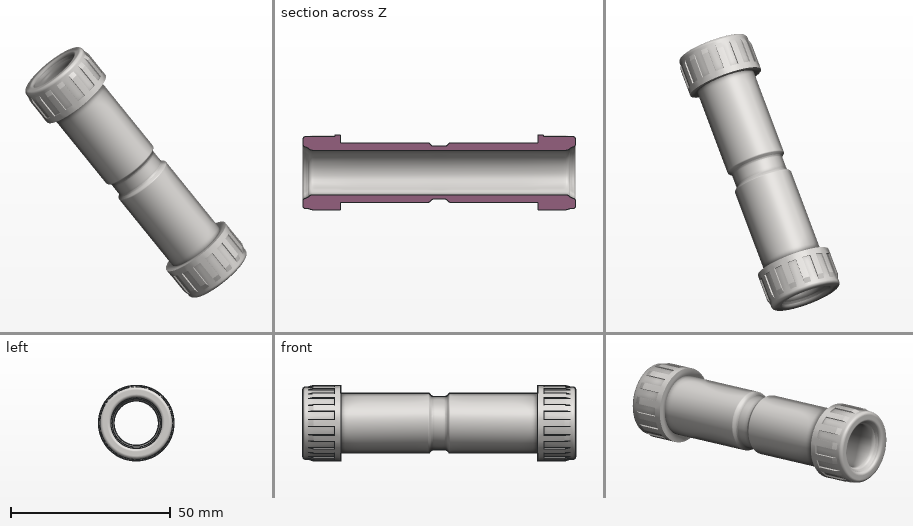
import cadquery as cq

length = 85.5
half_length = length / 2
bore_radius = 6.9
tube_radius = 9.4

waist_radius = 8.4
waist_half_width = 2.2
waist_root_fillet = 0.8
waist_rim_fillet = 0.4

cap_diameter = 23.7
cap_radius = cap_diameter / 2
cap_length = 12.0
cap_floor_radius = 11.4
cap_edge_fillet = 1.0

mouth_radius = 7.95
throat_radius = 7.5
throat_length = 0.8
lead_in_length = 1.2
throat_start = cap_edge_fillet
throat_end = throat_start + throat_length
lead_in_end = throat_end + lead_in_length

rib_count = 15
rib_width = 2.1
rib_start = 1.9
rib_ramp_end = 3.4
collar_start = 10.0
rib_embed = 0.85

edge_margin = 0.04


def revolve_about_x(outline):
    """Revolve a closed outline, with X axial and Y radial, about the X axis."""
    return outline.close().revolve(360, (0, 0, 0), (1, 0, 0))


def ring_edges(solid, axial_position, radius):
    """Select the circular edges up to the given radius at an axial position."""
    reach = radius + edge_margin
    box = cq.selectors.BoxSelector(
        (axial_position - edge_margin, -reach, -reach),
        (axial_position + edge_margin, reach, reach),
        boundingbox=True,
    )
    return solid.edges(box)


def make_tube():
    """Solid tube body with a filleted waist, reaching to the throat of each cap."""
    waist_rim = waist_half_width + tube_radius - waist_radius
    tube_end = half_length - throat_start
    tube = revolve_about_x(cq.Workplane("XY").polyline([
        (-tube_end, 0),
        (-tube_end, tube_radius),
        (-waist_rim, tube_radius),
        (-waist_half_width, waist_radius),
        (waist_half_width, waist_radius),
        (waist_rim, tube_radius),
        (tube_end, tube_radius),
        (tube_end, 0),
    ]))
    for side in (-1, 1):
        tube = ring_edges(tube, side * waist_half_width, waist_radius).fillet(waist_root_fillet)
        tube = ring_edges(tube, side * waist_rim, tube_radius).fillet(waist_rim_fillet)
    return tube


def make_ribs():
    """Grip ribs: radial bars trimmed to a ring whose front ramps up to the cap radius."""
    rib_root = cap_floor_radius - rib_embed
    ring = revolve_about_x(cq.Workplane("XY").polyline([
        (rib_start, rib_root),
        (rib_start, cap_floor_radius),
        (rib_ramp_end, cap_radius),
        (collar_start, cap_radius),
        (collar_start, rib_root),
    ]))
    bar = cq.Workplane("XY").box(cap_length, cap_radius, rib_width, centered=(False, False, True))
    bars = cq.Workplane("XY")
    for index in range(rib_count):
        angle = 180 + index * 360 / rib_count
        bars = bars.add(bar.rotate((0, 0, 0), (1, 0, 0), angle))
    return ring.intersect(bars.combine())


def make_cap():
    """Cap with its open face at X = 0, rounded lip, ribs and collar included."""
    body = revolve_about_x(cq.Workplane("XY").polyline([
        (0, mouth_radius),
        (0, cap_floor_radius),
        (collar_start, cap_floor_radius),
        (collar_start, cap_radius),
        (cap_length, cap_radius),
        (cap_length, mouth_radius),
    ]))
    body = body.faces("<X").edges().fillet(cap_edge_fillet)
    return body.union(make_ribs())


def make_half_bore():
    """Bore from the middle of the tube out to the +X throat."""
    outline = (
        cq.Workplane("XY")
        .lineTo(0, bore_radius)
        .lineTo(half_length - lead_in_end, bore_radius)
        .tangentArcPoint((half_length - throat_end, throat_radius), relative=False)
        .lineTo(half_length - throat_start, mouth_radius)
        .lineTo(half_length - throat_start, 0)
    )
    return revolve_about_x(outline)


left_cap = make_cap().translate((-half_length, 0, 0))
right_cap = left_cap.mirror("YZ")
right_bore = make_half_bore()
left_bore = right_bore.mirror("YZ")
result = make_tube().union(left_cap).union(right_cap).cut(right_bore).cut(left_bore)